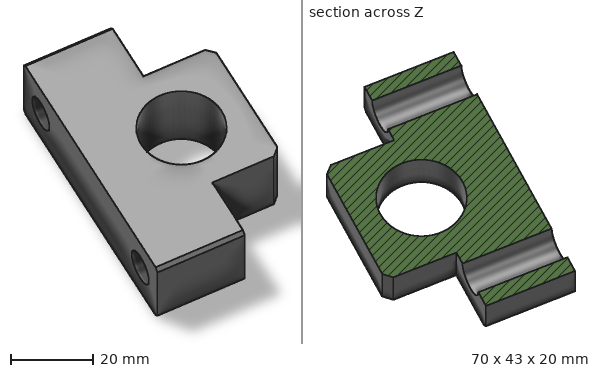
import cadquery as cq

length = 70.0
depth = 43.0
height = 20.0

base_depth = 24.0
neck_width = 36.0
base_chamfer = 1.0
neck_chamfer = 2.0

bore_diameter = 22.0
bore_y = 25.0

mount_diameter = 9.0
mount_spacing = 52.0


def make_base():
    """Bar along X with its four end edges chamfered."""
    bar = cq.Workplane("XY").box(length, base_depth, height, centered=(True, False, True))
    return bar.faces("<X or >X").edges("|Y").chamfer(base_chamfer)


def make_neck():
    """Block around the bore, with its two rear vertical edges chamfered."""
    block = cq.Workplane("XY").box(neck_width, depth, height, centered=(True, False, True))
    return block.faces(">Y").edges("|Z").chamfer(neck_chamfer)


def make_bore():
    """Shaft bore through the full height."""
    start = cq.Workplane("XY", origin=(0, bore_y, -height / 2))
    return start.circle(bore_diameter / 2).extrude(height)


def make_mount_holes():
    """Pair of holes through the base along Y."""
    start = cq.Workplane("XZ").pushPoints([(-mount_spacing / 2, 0), (mount_spacing / 2, 0)])
    return start.circle(mount_diameter / 2).extrude(-base_depth)


result = make_base().union(make_neck()).cut(make_bore()).cut(make_mount_holes())